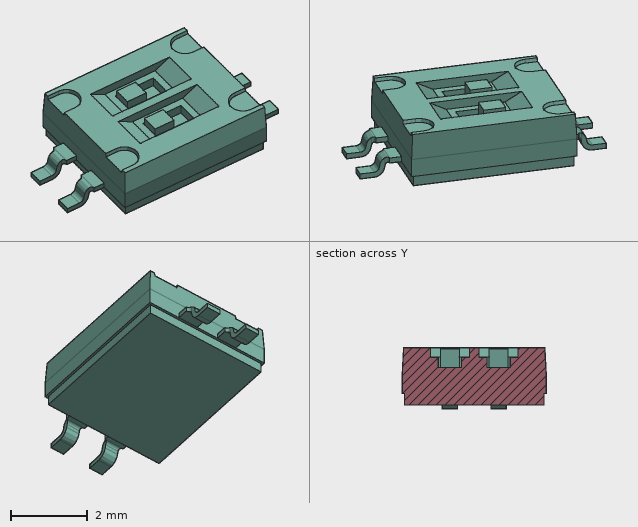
import cadquery as cq
import math


housing_width = 3.77
housing_length = 4.5
housing_top = 1.6
parting_height = 0.9
housing_draft = 3.0
base_width = 3.65
base_length = 4.375
base_bottom = 0.1
base_top = 0.4

notch_spacing = 2.665
notch_center_y = 1.88
notch_top_radius = 0.38
notch_depth = 0.1
notch_draft = 13.0

pitch = 1.27
window_width = 1.01
window_length = 2.505
window_floor_length = 1.595
window_depth = 0.25

well_width = 0.6
well_length = 1.2
well_depth = 0.27
slider_width = 0.495
slider_length = well_length / 2
slider_height = 0.48

lead_span = 6.7
lead_thickness = 0.15
lead_root_width = 0.6
lead_tip_width = 0.41
lead_root_length = 0.32
lead_tilt = math.radians(12.0)
upper_bend_radius = 0.095
lower_bend_radius = 0.15

switch_xs = (-pitch / 2, pitch / 2)
window_floor = housing_top - window_depth
well_floor = window_floor - well_depth
lead_start = housing_length / 2
lead_end = lead_span / 2
lead_root_end = lead_start + lead_root_length
lead_bottom = base_top
lead_top = lead_bottom + lead_thickness


def make_shell():
    """Stepped block: recessed base, straight middle and drafted upper part."""
    base = (
        cq.Workplane("XY", origin=(0, 0, base_bottom))
        .rect(base_width, base_length)
        .extrude(base_top - base_bottom)
    )
    middle = (
        cq.Workplane("XY", origin=(0, 0, base_top))
        .rect(housing_width, housing_length)
        .extrude(parting_height - base_top)
    )
    upper = (
        cq.Workplane("XY", origin=(0, 0, parting_height))
        .rect(housing_width, housing_length)
        .extrude(housing_top - parting_height, taper=housing_draft)
    )
    return base.union(middle).union(upper)


def make_notch(x, side):
    """Round-ended drafted notch that runs out through the end face on the given Y side."""
    inner_y = side * (notch_center_y - notch_top_radius)
    outer_y = side * housing_length
    return (
        cq.Workplane("XY", origin=(0, 0, housing_top))
        .moveTo(x - notch_top_radius, outer_y)
        .lineTo(x - notch_top_radius, side * notch_center_y)
        .threePointArc((x, inner_y), (x + notch_top_radius, side * notch_center_y))
        .lineTo(x + notch_top_radius, outer_y)
        .close()
        .extrude(-notch_depth, taper=notch_draft)
    )


def make_window(x):
    """Window with sloped ends, and the slider well in its floor."""
    window = (
        cq.Workplane("YZ", origin=(x, 0, 0))
        .moveTo(-window_length / 2, housing_top)
        .lineTo(-window_floor_length / 2, window_floor)
        .lineTo(window_floor_length / 2, window_floor)
        .lineTo(window_length / 2, housing_top)
        .close()
        .extrude(window_width / 2, both=True)
    )
    well = (
        cq.Workplane("XY", origin=(x, 0, well_floor))
        .rect(well_width, well_length)
        .extrude(window_floor - well_floor)
    )
    return window.union(well)


def make_housing():
    body = make_shell()
    for x in (-notch_spacing / 2, notch_spacing / 2):
        for side in (-1, 1):
            body = body.cut(make_notch(x, side))
    for x in switch_xs:
        body = body.cut(make_window(x))
    return body


def make_slider(x):
    """Slider standing on the well floor, pushed to the -Y end of its well."""
    return (
        cq.Workplane("XY", origin=(x, (slider_length - well_length) / 2, well_floor))
        .rect(slider_width, slider_length)
        .extrude(slider_height)
    )


def bend_point(center, radius, angle):
    """Point of a bend, with the angle measured from +Y toward +Z."""
    return (center[0] + radius * math.cos(angle), center[1] + radius * math.sin(angle))


def make_lead_strip():
    """Bent strip at full root width, on the +Y end at X = 0."""
    upper_outer = upper_bend_radius + lead_thickness
    lower_outer = lower_bend_radius + lead_thickness

    upper_center = (lead_root_end, lead_bottom - upper_bend_radius)
    lower_center_z = lead_thickness + lower_bend_radius
    center_rise = upper_center[1] - lower_center_z
    radius_sum = upper_outer + lower_bend_radius
    center_gap = (radius_sum + center_rise * math.sin(lead_tilt)) / math.cos(lead_tilt)
    lower_center = (lead_root_end + center_gap, lower_center_z)

    upper_middle = (lead_tilt + math.pi / 2) / 2
    lower_start = lead_tilt + math.pi
    lower_middle = (lower_start + 3 * math.pi / 2) / 2

    return (
        cq.Workplane("YZ")
        .moveTo(lead_start, lead_top)
        .lineTo(lead_root_end, lead_top)
        .threePointArc(
            bend_point(upper_center, upper_outer, upper_middle),
            bend_point(upper_center, upper_outer, lead_tilt),
        )
        .lineTo(*bend_point(lower_center, lower_bend_radius, lower_start))
        .threePointArc(
            bend_point(lower_center, lower_bend_radius, lower_middle),
            (lower_center[0], lead_thickness),
        )
        .lineTo(lead_end, lead_thickness)
        .lineTo(lead_end, 0)
        .lineTo(lower_center[0], 0)
        .threePointArc(
            bend_point(lower_center, lower_outer, lower_middle),
            bend_point(lower_center, lower_outer, lower_start),
        )
        .lineTo(*bend_point(upper_center, upper_bend_radius, lead_tilt))
        .threePointArc(
            bend_point(upper_center, upper_bend_radius, upper_middle),
            (lead_root_end, lead_bottom),
        )
        .lineTo(lead_start, lead_bottom)
        .close()
        .extrude(lead_root_width / 2, both=True)
    )


def make_lead_outline():
    """Plan outline of a lead: wide root narrowing through quarter-round shoulders to the tip."""
    root_side = lead_root_width / 2
    tip_side = lead_tip_width / 2
    shoulder_radius = root_side - tip_side
    shoulder_end = lead_root_end + shoulder_radius
    arc_offset = shoulder_radius * math.sin(math.pi / 4)
    arc_middle_x = root_side - arc_offset
    arc_middle_y = shoulder_end - arc_offset
    return (
        cq.Workplane("XY")
        .moveTo(-root_side, 0)
        .lineTo(-root_side, lead_root_end)
        .threePointArc((-arc_middle_x, arc_middle_y), (-tip_side, shoulder_end))
        .lineTo(-tip_side, lead_end)
        .lineTo(tip_side, lead_end)
        .lineTo(tip_side, shoulder_end)
        .threePointArc((arc_middle_x, arc_middle_y), (root_side, lead_root_end))
        .lineTo(root_side, 0)
        .close()
        .extrude(lead_top)
    )


def make_lead(x, turn):
    """Lead at the given X, turned about Z to either end of the housing."""
    lead = make_lead_strip().intersect(make_lead_outline())
    return lead.rotate((0, 0, 0), (0, 0, 1), turn).translate((x, 0, 0))


housing = make_housing()
sliders = [make_slider(x) for x in switch_xs]
leads = [make_lead(x, turn) for x in switch_xs for turn in (0, 180)]

result = cq.Compound.makeCompound(
    [
        housing.val(),
        *[slider.val() for slider in sliders],
        *[lead.val() for lead in leads],
    ]
)